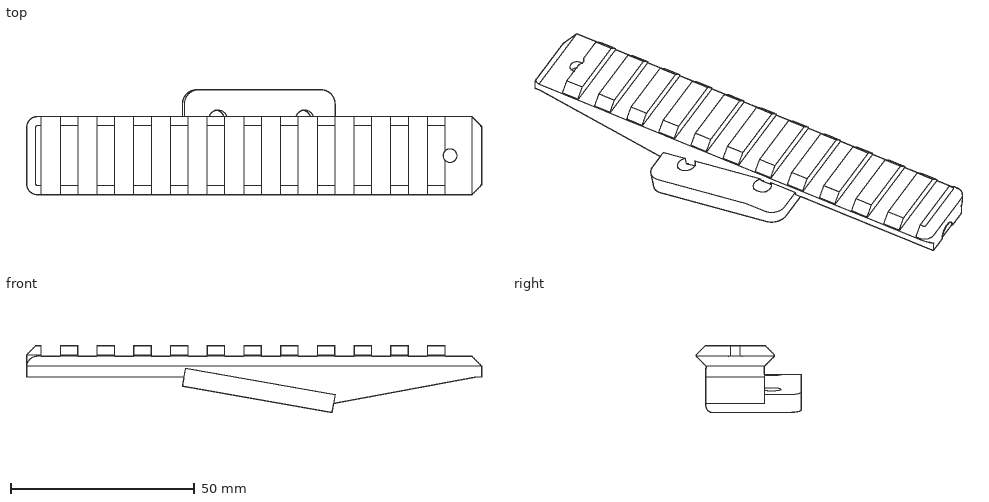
import cadquery as cq
import math

rail_length = 124.1
rail_width = 21.3
rail_top = 18.2
rail_bottom = 9.7
top_chamfer = 2.5
flank_height = 0.4
undercut = 2.7
head_corner_radius = 3.0
neck_half_width = rail_width / 2 - undercut
head_corner_y = rail_width / 2 - head_corner_radius
flank_z = rail_top - top_chamfer
slot_floor_z = flank_z - flank_height
neck_top = slot_floor_z - undercut

slot_width = 5.2
first_slot_start = 4.0
last_land_end = 114.1
full_land_count = 11
slot_pitch = (last_land_end - first_slot_start) / full_land_count

top_hole_diameter = 3.7
top_hole_x = 115.4
top_hole_depth = 2.5
end_recess_diameter = 5.7
end_recess_depth = 0.2

plate_tilt = 10.0
plate_length = 41.5
plate_thickness = 5.0
plate_corner_x = 43.3
plate_drop = plate_length * math.sin(math.radians(plate_tilt))
plate_corner_z = plate_drop + plate_thickness * math.cos(math.radians(plate_tilt))
plate_min_y = -neck_half_width - 0.1
plate_max_y = 18.0
plate_corner_radius = 4.0
plate_edge_radius = 2.0
plate_cap_z = 10.4

screw_diameter = 5.0
screw_y = 9.9
screw_spacing = 24.0
first_screw_offset = 9.0

wedge_low_z = 2.5
wedge_end_x = 122.5


def make_head_corner(side):
    """Vertical cylinder with a conical top, rounding one -X corner of the head."""
    return (
        cq.Workplane("XZ")
        .polyline([
            (0, neck_top),
            (head_corner_radius, neck_top),
            (head_corner_radius, flank_z),
            (head_corner_radius - top_chamfer, rail_top),
            (0, rail_top),
        ])
        .close()
        .revolve(360, (0, 0), (0, 1))
        .translate((head_corner_radius, side * head_corner_y, 0))
    )


def make_head_envelope():
    """Block bounding the head, chamfered and corner-rounded at its -X end."""
    end_block = (
        cq.Workplane("XZ")
        .polyline([
            (0, neck_top),
            (head_corner_radius, neck_top),
            (head_corner_radius, rail_top),
            (top_chamfer, rail_top),
            (0, flank_z),
        ])
        .close()
        .extrude(head_corner_y, both=True)
    )
    main_block = (
        cq.Workplane("XY")
        .box(
            rail_length - head_corner_radius,
            rail_width,
            rail_top - neck_top,
            centered=(False, True, False),
        )
        .translate((head_corner_radius, 0, neck_top))
    )
    return main_block.union(end_block).union(make_head_corner(1)).union(make_head_corner(-1))


def make_rail():
    neck = (
        cq.Workplane("XY")
        .box(rail_length, 2 * neck_half_width, neck_top - rail_bottom, centered=(False, True, False))
        .translate((0, 0, rail_bottom))
    )
    top_half_width = rail_width / 2 - top_chamfer
    head = (
        cq.Workplane("YZ")
        .polyline([
            (-neck_half_width, neck_top),
            (neck_half_width, neck_top),
            (rail_width / 2, slot_floor_z),
            (rail_width / 2, flank_z),
            (top_half_width, rail_top),
            (-top_half_width, rail_top),
            (-rail_width / 2, flank_z),
            (-rail_width / 2, slot_floor_z),
        ])
        .close()
        .extrude(rail_length)
    )
    return neck.union(head.intersect(make_head_envelope()))


def cut_above_floor(rail, start, end):
    """Remove everything above the slot floor between two X positions."""
    band = cq.Workplane("XY").box(
        end - start, rail_width, rail_top - slot_floor_z, centered=(False, True, False)
    )
    return rail.cut(band.translate((start, 0, slot_floor_z)))


def cut_slots(rail):
    for index in range(full_land_count):
        start = first_slot_start + index * slot_pitch
        rail = cut_above_floor(rail, start, start + slot_width)
    return cut_above_floor(rail, last_land_end, rail_length)


def cut_end_slope(rail):
    """Bevel the +X end from the slot floor down to the neck."""
    slope = (
        cq.Workplane("XZ")
        .polyline([
            (rail_length - undercut, slot_floor_z),
            (rail_length, slot_floor_z),
            (rail_length, neck_top),
        ])
        .close()
        .extrude(rail_width, both=True)
    )
    return rail.cut(slope)


def cut_rail_holes(rail):
    top_hole = (
        cq.Workplane("XY", origin=(top_hole_x, 0, slot_floor_z - top_hole_depth))
        .circle(top_hole_diameter / 2)
        .extrude(rail_top - slot_floor_z + top_hole_depth)
    )
    end_recess = (
        cq.Workplane("YZ", origin=(0, 0, rail_bottom))
        .circle(end_recess_diameter / 2)
        .extrude(end_recess_depth)
    )
    return rail.cut(top_hole).cut(end_recess)


def make_plate():
    """Plate drawn flat with its top -X corner at the origin, then tilted into place."""
    plate = (
        cq.Workplane("XY")
        .box(plate_length, plate_max_y - plate_min_y, plate_thickness, centered=False)
        .translate((0, plate_min_y, -plate_thickness))
        .edges("|Z and >Y")
        .fillet(plate_corner_radius)
        .edges("|X and <Y and <Z")
        .fillet(plate_edge_radius)
    )
    screws = (
        cq.Workplane("XY", origin=(0, 0, -plate_thickness))
        .pushPoints([
            (first_screw_offset, screw_y),
            (first_screw_offset + screw_spacing, screw_y),
        ])
        .circle(screw_diameter / 2)
        .extrude(plate_thickness)
    )
    plate = (
        plate.cut(screws)
        .rotate((0, 0, 0), (0, 1, 0), plate_tilt)
        .translate((plate_corner_x, 0, plate_corner_z))
    )
    relief = (
        cq.Workplane("XY")
        .box(rail_length, plate_max_y, rail_top, centered=False)
        .translate((0, neck_half_width, plate_cap_z))
    )
    return plate.cut(relief)


def make_wedge():
    tilt = math.radians(plate_tilt)
    plate_end_x = plate_corner_x + plate_length * math.cos(tilt)
    plate_end_z = plate_corner_z - plate_drop
    wedge_low_x = plate_end_x - (plate_end_z - wedge_low_z) * math.tan(tilt)
    return (
        cq.Workplane("XZ")
        .polyline([
            (plate_corner_x, plate_corner_z),
            (wedge_low_x, wedge_low_z),
            (wedge_end_x, rail_bottom),
            (wedge_end_x, plate_corner_z),
        ])
        .close()
        .extrude(neck_half_width, both=True)
    )


rail = cut_end_slope(cut_slots(make_rail()))
result = cut_rail_holes(rail).union(make_wedge()).union(make_plate())